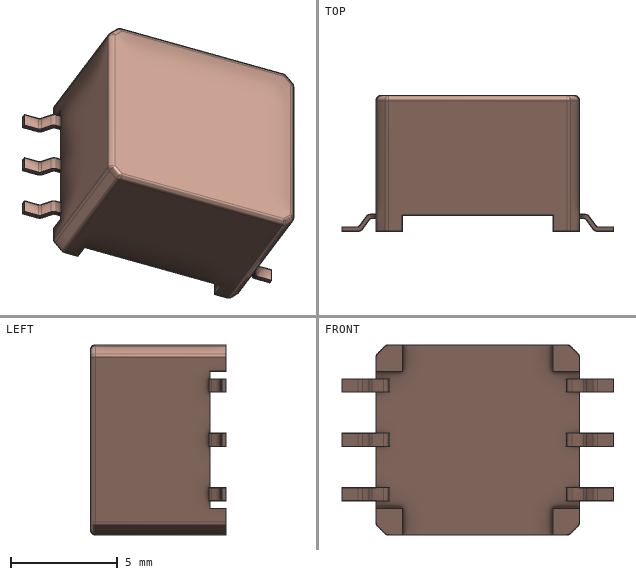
import cadquery as cq
import math

overall_x = 12.7
depth_y = 6.35
height_z = 8.89
seat_y = -depth_y / 2

housing_x = 9.52
corner_chamfer = 0.5
edge_radius = 0.25
foot_size = 1.25
foot_height = 0.75

lead_width = 0.62
lead_thickness = 0.2
lead_pitch = 2.54
leads_per_side = 3
lead_top = 0.8
toe_bend_x = 5.46
raised_outer_x = 5.03
raised_inner_x = 4.27
root_depth = 0.06
root_tip_x = 3.43
inside_radius = 0.15
outside_radius = 0.25


def make_housing_blank():
    """Block with chamfered corners, a rounded far face and four feet on the seating side."""
    block = (
        cq.Workplane("XY")
        .box(housing_x, depth_y, height_z)
        .edges("|Y").chamfer(corner_chamfer)
        .edges("|Y").fillet(edge_radius)
        .faces(">Y").edges().fillet(edge_radius)
    )
    channel_y = seat_y + foot_height / 2
    channel_along_z = cq.Workplane("XY").box(housing_x - 2 * foot_size, foot_height, height_z)
    channel_along_x = cq.Workplane("XY").box(housing_x, foot_height, height_z - 2 * foot_size)
    for channel in (channel_along_z, channel_along_x):
        block = block.cut(channel.translate((0, channel_y, 0)))
    return block


def make_lead():
    """Bent strip on the +X side: toe, sloped leg, raised flat and a root jogged into the housing."""
    raised_y = seat_y + lead_top - lead_thickness
    root_y = seat_y + foot_height + root_depth
    bend_angle = math.atan2(raised_y - seat_y, toe_bend_x - raised_outer_x)
    corner_shift = lead_thickness * math.tan(bend_angle / 2)
    root_bend_x = raised_inner_x - (root_y - raised_y) / math.tan(bend_angle)
    toe_x = overall_x / 2

    board_bends = [
        (toe_bend_x, seat_y),
        (raised_outer_x, raised_y),
        (raised_inner_x, raised_y),
        (root_bend_x, root_y),
    ]
    back_bends = [(x + corner_shift, y + lead_thickness) for x, y in board_bends]
    outline = [
        (toe_x, seat_y),
        *board_bends,
        (root_tip_x, root_y),
        (root_tip_x, root_y + lead_thickness),
        *reversed(back_bends),
        (toe_x, seat_y + lead_thickness),
    ]
    lead = cq.Workplane("XY").polyline(outline).close().extrude(lead_width / 2, both=True)

    board_toe, board_outer, board_inner, board_root = board_bends
    back_toe, back_outer, back_inner, back_root = back_bends
    bend_corners = {
        outside_radius: (board_toe, back_outer, board_inner, back_root),
        inside_radius: (back_toe, board_outer, back_inner, board_root),
    }
    for radius, corners in bend_corners.items():
        for corner in corners:
            lead = lead.edges(cq.NearestToPointSelector((*corner, 0))).fillet(radius)
    return lead


def make_leads():
    """Two mirrored rows of leads, centred on the housing height."""
    right_lead = make_lead()
    left_lead = right_lead.mirror("YZ")
    leads = []
    for index in range(leads_per_side):
        center_z = (index - (leads_per_side - 1) / 2) * lead_pitch
        for lead in (left_lead, right_lead):
            leads.append(lead.translate((0, 0, center_z)))
    return leads


def make_housing(leads):
    """Housing with a matching pocket for the root of every lead."""
    housing = make_housing_blank()
    for lead in leads:
        housing = housing.cut(lead)
    return housing


leads = make_leads()
housing = make_housing(leads)

result = cq.Compound.makeCompound([housing.val(), *[lead.val() for lead in leads]])